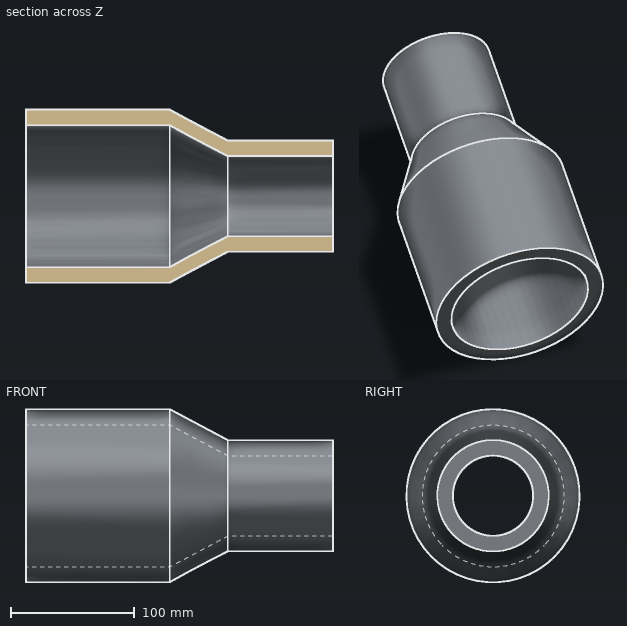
import cadquery as cq

wide_outer_diameter = 140.0
wide_bore_diameter = 114.6
narrow_outer_diameter = 90.0
narrow_bore_diameter = 64.6

wide_length = 116.0
taper_length = 47.0
narrow_length = 85.0


def stepped_cone(wide_diameter, narrow_diameter):
    """Solid of revolution about X: wide cylinder, taper, narrow cylinder."""
    wide_radius = wide_diameter / 2
    narrow_radius = narrow_diameter / 2
    taper_end = wide_length + taper_length
    total_length = taper_end + narrow_length
    half_profile = (
        cq.Workplane("XZ")
        .moveTo(0, 0)
        .lineTo(0, wide_radius)
        .lineTo(wide_length, wide_radius)
        .lineTo(taper_end, narrow_radius)
        .lineTo(total_length, narrow_radius)
        .lineTo(total_length, 0)
        .close()
    )
    return half_profile.revolve(360, (0, 0, 0), (1, 0, 0))


body = stepped_cone(wide_outer_diameter, narrow_outer_diameter)
bore = stepped_cone(wide_bore_diameter, narrow_bore_diameter)

result = body.cut(bore)